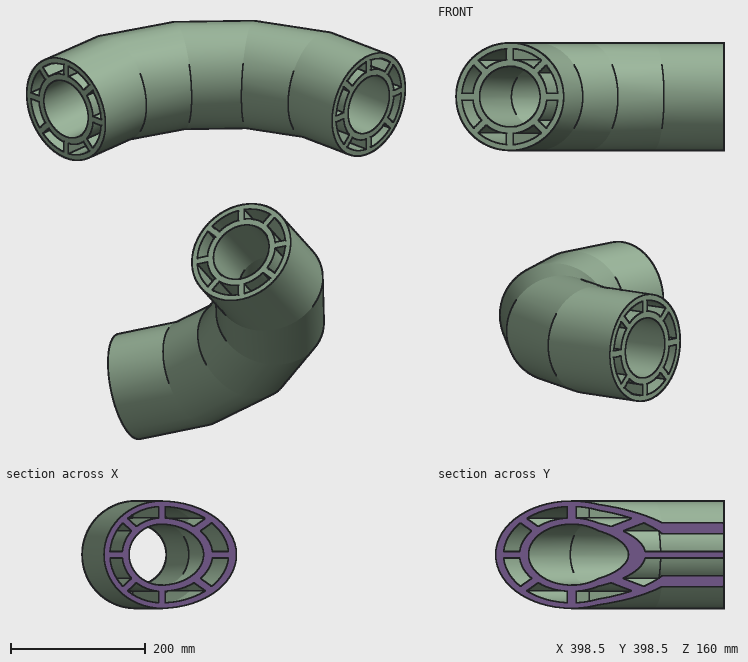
import cadquery as cq
import math


OUTER_DIAMETER = 160.0
OUTER_WALL = 8.8
INNER_PIPE_DIAMETER = 110.0
BORE_DIAMETER = 90.0
WEB_COUNT = 8
WEB_THICKNESS = 10.0

OVERALL_LENGTH = 398.5
PORT_LENGTH = 105.0
BEND_ANGLE = 90.0
MITRE_COUNT = 4

outer_radius = OUTER_DIAMETER / 2
cavity_outer_radius = outer_radius - OUTER_WALL
cavity_inner_radius = INNER_PIPE_DIAMETER / 2
turn_angle = BEND_ANGLE / MITRE_COUNT
headings = [BEND_ANGLE - turn_angle * i for i in range(MITRE_COUNT + 1)]

port_to_corner = OVERALL_LENGTH - outer_radius
middle_reach = sum(math.sin(math.radians(heading)) for heading in headings[1:-1])
segment_length = (port_to_corner - PORT_LENGTH) / middle_reach


def axis_points():
    """Corner points of the elbow axis, starting at the centre of the -Y port."""
    x, y = 0.0, 0.0
    points = [(x, y)]
    for heading in headings:
        is_port = heading in (headings[0], headings[-1])
        length = PORT_LENGTH if is_port else segment_length
        x += length * math.cos(math.radians(heading))
        y += length * math.sin(math.radians(heading))
        points.append((x, y))
    return points


def sweep_along_axis(section):
    """Sweep a section drawn in the XZ plane round the elbow with mitred corners."""
    path = cq.Workplane("XY").polyline(axis_points())
    return section.sweep(path, transition="right")


def swept_cylinder(diameter):
    return sweep_along_axis(cq.Workplane("XZ").circle(diameter / 2))


def channel_section(middle_angle):
    """Arc-shaped opening between two neighbouring webs, which have parallel sides."""
    half_pitch = math.pi / WEB_COUNT

    def point(radius, fraction):
        web_angle = math.asin(WEB_THICKNESS / 2 / radius)
        angle = middle_angle + fraction * (half_pitch - web_angle)
        return (radius * math.cos(angle), radius * math.sin(angle))

    return (
        cq.Workplane("XZ")
        .moveTo(*point(cavity_inner_radius, -1))
        .lineTo(*point(cavity_outer_radius, -1))
        .threePointArc(point(cavity_outer_radius, 0), point(cavity_outer_radius, 1))
        .lineTo(*point(cavity_inner_radius, 1))
        .threePointArc(point(cavity_inner_radius, 0), point(cavity_inner_radius, -1))
        .close()
    )


result = swept_cylinder(OUTER_DIAMETER).cut(swept_cylinder(BORE_DIAMETER))

for index in range(WEB_COUNT):
    channel_angle = 2 * math.pi * (index + 0.5) / WEB_COUNT
    result = result.cut(sweep_along_axis(channel_section(channel_angle)))